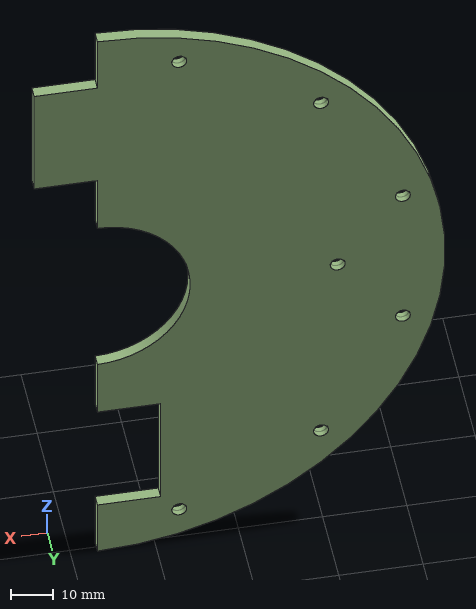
import cadquery as cq
import math

thickness = 3.0
outer_radius = 82.5
bore_radius = 22.0

joint_depth = 15.0
joint_height = 30.0
joint_center = 52.5

hole_diameter = 3.5
rim_hole_circle_radius = 75.0
rim_hole_angles = [105, 135, 165, 195, 225, 255]
inner_hole_offset = 57.0

joint_near = joint_center - joint_height / 2
joint_far = joint_center + joint_height / 2


def half_disc():
    """Half ring on the -X side, with the tab and the slot on its straight edge."""
    return (
        cq.Workplane("XZ")
        .moveTo(0, outer_radius)
        .lineTo(0, joint_far)
        .lineTo(joint_depth, joint_far)
        .lineTo(joint_depth, joint_near)
        .lineTo(0, joint_near)
        .lineTo(0, bore_radius)
        .threePointArc((-bore_radius, 0), (0, -bore_radius))
        .lineTo(0, -joint_near)
        .lineTo(-joint_depth, -joint_near)
        .lineTo(-joint_depth, -joint_far)
        .lineTo(0, -joint_far)
        .lineTo(0, -outer_radius)
        .threePointArc((-outer_radius, 0), (0, outer_radius))
        .close()
        .extrude(thickness / 2, both=True)
    )


def rim_hole_position(angle_degrees):
    angle = math.radians(angle_degrees)
    return (
        rim_hole_circle_radius * math.cos(angle),
        rim_hole_circle_radius * math.sin(angle),
    )


def mounting_holes():
    """Through-hole cutters: six near the rim and one on the X axis."""
    positions = [rim_hole_position(angle) for angle in rim_hole_angles]
    positions.append((-inner_hole_offset, 0))
    return (
        cq.Workplane("XZ")
        .pushPoints(positions)
        .circle(hole_diameter / 2)
        .extrude(thickness, both=True)
    )


result = half_disc().cut(mounting_holes())